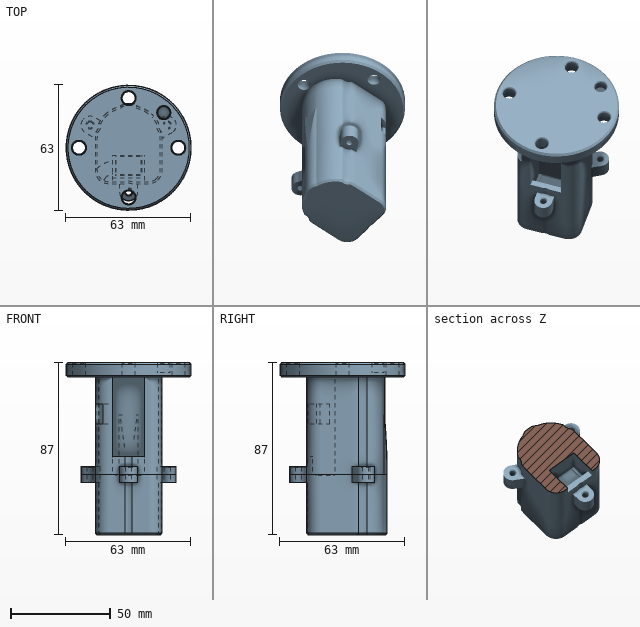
import cadquery as cq
import math

total_height = 87.0
edge_chamfer = 1.0

flange_diameter = 63.0
flange_thickness = 7.5
flange_bottom = total_height - flange_thickness

bolt_circle_radius = 25.0
bolt_hole_diameter = 6.5
dowel_hole_diameter = 6.1
dowel_hole_depth = 5.0
hole_chamfer = 0.5

half_width = 16.8
front_y = -18.15
back_y = 21.25
front_corner_radius = 6.85
back_corner_radius = 16.2
seam_z = 30.5

ridge_radius = 7.5
ridge_back_y = 22.4
ridge_center_y = ridge_back_y - ridge_radius
ridge_runout_radius = 330.0
ridge_runout_height = 30.0

ear_angles = (-90.0, 30.0, 150.0)
ear_circle_radius = 22.45
ear_circle_y = 0.2
ear_radius = 4.5
ear_half_height = 4.0
ear_root_radius = 14.0
ear_hole_diameter = 3.1
driver_groove_radius = 4.45

cavity_width = 16.0
cavity_back_y = -3.9
front_wall = 3.0
cavity_front_y = front_y + front_wall
window_height = 40.0
window_bottom = flange_bottom - window_height

channel_center = (-7.0, -19.2)
channel_inner_radius = 6.2
channel_outer_radius = 12.5
channel_bottom = 56.0
channel_height = 10.0

recess_margin = 1.3
recess_depth = 0.4


def box_between(x_range, y_range, z_range):
    """Box spanning the given lower and upper limits."""
    size = [high - low for low, high in (x_range, y_range, z_range)]
    corner = (x_range[0], y_range[0], z_range[0])
    return cq.Workplane("XY").box(*size, centered=False).translate(corner)


def ear_center(angle):
    """Plan position of the screw axis of the ear at this angle."""
    return (
        ear_circle_radius * math.cos(math.radians(angle)),
        ear_circle_y + ear_circle_radius * math.sin(math.radians(angle)),
    )


def shell_block(bottom, top):
    """Rounded block of the housing outline, without ridge, grooves or ears."""
    block = box_between((-half_width, half_width), (front_y, back_y), (bottom, top))
    block = block.edges("|Z and <Y").fillet(front_corner_radius)
    return block.edges("|Z and >Y").fillet(back_corner_radius)


def ridge(bottom, top):
    """Vertical cylinder whose back side stands out of the housing."""
    cylinder = cq.Workplane("XY").circle(ridge_radius).extrude(top - bottom)
    return cylinder.translate((0, ridge_center_y, bottom))


def driver_grooves(bottom, top):
    """Cylinders around the ear axes that hollow the housing sides."""
    centers = [ear_center(angle) for angle in ear_angles]
    cylinders = cq.Workplane("XY").pushPoints(centers).circle(driver_groove_radius)
    return cylinders.extrude(top - bottom).translate((0, 0, bottom))


def add_ears(housing, bottom, top):
    """Add the ears between two heights and drill their screw holes."""
    height = top - bottom
    neck_length = ear_circle_radius - ear_root_radius
    for angle in ear_angles:
        neck = cq.Workplane("XY").box(neck_length, 2 * ear_radius, height, centered=(False, True, False))
        neck = neck.translate((ear_root_radius, 0, 0))
        tip = cq.Workplane("XY").center(ear_circle_radius, 0).circle(ear_radius).extrude(height)
        ear = neck.union(tip).rotate((0, 0, 0), (0, 0, 1), angle)
        housing = housing.union(ear.translate((0, ear_circle_y, bottom)))
    for angle in ear_angles:
        hole = cq.Workplane("XY").center(*ear_center(angle)).circle(ear_hole_diameter / 2).extrude(height)
        housing = housing.cut(hole.translate((0, 0, bottom)))
    return housing


def countersink(center, hole_diameter, top):
    """Cone that breaks the upper edge of a hole."""
    cone = cq.Solid.makeCone(hole_diameter / 2, hole_diameter / 2 + hole_chamfer, hole_chamfer)
    return cq.Workplane(cone).translate((*center, top - hole_chamfer))


def top_hole(center, diameter, depth, top):
    """Drill with a countersunk mouth, reaching down from the given height."""
    drill = cq.Workplane("XY").center(*center).circle(diameter / 2).extrude(depth)
    return drill.translate((0, 0, top - depth)).union(countersink(center, diameter, top))


def make_flange():
    """Chamfered disc with four bolt holes and one blind dowel hole."""
    disc = cq.Workplane("XY").circle(flange_diameter / 2).extrude(flange_thickness)
    disc = disc.faces("<Z or >Z").chamfer(edge_chamfer).translate((0, 0, flange_bottom))
    for x, y in ((1, 0), (0, 1), (-1, 0), (0, -1)):
        center = (bolt_circle_radius * x, bolt_circle_radius * y)
        disc = disc.cut(top_hole(center, bolt_hole_diameter, flange_thickness, total_height))
    dowel_offset = bolt_circle_radius * math.sqrt(0.5)
    dowel_center = (dowel_offset, dowel_offset)
    return disc.cut(top_hole(dowel_center, dowel_hole_diameter, dowel_hole_depth, total_height))


def ridge_runout():
    """Ridge above the seam, trimmed by a large arc that is tangent to it at the seam."""
    runout_top = seam_z + ridge_runout_height
    runout_top_y = (
        ridge_back_y - ridge_runout_radius
        + math.sqrt(ridge_runout_radius**2 - ridge_runout_height**2)
    )
    envelope = (
        cq.Workplane("YZ")
        .moveTo(ridge_center_y, seam_z)
        .lineTo(ridge_back_y, seam_z)
        .radiusArc((runout_top_y, runout_top), -ridge_runout_radius)
        .lineTo(ridge_center_y, runout_top)
        .close()
        .extrude(ridge_radius, both=True)
    )
    return ridge(seam_z, runout_top).intersect(envelope)


def cable_channel():
    """Ring whose quarter breaks through the front left corner; it ends at the cavity side."""
    ring = (
        cq.Workplane("XY")
        .center(*channel_center)
        .circle(channel_outer_radius)
        .circle(channel_inner_radius)
        .extrude(channel_height)
        .translate((0, 0, channel_bottom))
    )
    reach = box_between(
        (channel_center[0] - channel_outer_radius, -cavity_width / 2),
        (channel_center[1], channel_center[1] + channel_outer_radius),
        (channel_bottom, channel_bottom + channel_height),
    )
    return ring.intersect(reach)


def make_upper_housing():
    housing = shell_block(seam_z, flange_bottom).union(ridge_runout())
    housing = housing.cut(driver_grooves(seam_z, flange_bottom))
    ear_top = seam_z + ear_half_height
    housing = add_ears(housing, seam_z, ear_top)
    for angle in ear_angles:
        housing = housing.cut(countersink(ear_center(angle), ear_hole_diameter, ear_top))
    cavity_sides = (-cavity_width / 2, cavity_width / 2)
    housing = housing.cut(
        box_between(cavity_sides, (cavity_front_y, cavity_back_y), (seam_z, flange_bottom))
    )
    housing = housing.cut(
        box_between(cavity_sides, (front_y, cavity_front_y), (window_bottom, flange_bottom))
    )
    housing = housing.cut(cable_channel())
    return housing.union(make_flange())


def floor_recess():
    """Recess cutter that narrows downwards by its own depth on every side."""
    width = cavity_width - 2 * recess_margin
    front = cavity_front_y + recess_margin
    length = cavity_back_y - front
    return (
        cq.Workplane("XY")
        .workplane(offset=seam_z)
        .center(0, front + length / 2)
        .rect(width, length)
        .extrude(-recess_depth, taper=45)
    )


def groove_flares():
    """Cones that carry the bottom edge chamfer around the driver grooves."""
    centers = [ear_center(angle) for angle in ear_angles]
    cone = cq.Solid.makeCone(driver_groove_radius + edge_chamfer, driver_groove_radius, edge_chamfer)
    return cq.Workplane("XY").pushPoints(centers).eachpoint(lambda place: cone.moved(place))


def make_lower_housing():
    housing = shell_block(0, seam_z).faces("<Z").chamfer(edge_chamfer)
    housing = housing.union(ridge(0, seam_z).faces("<Z").chamfer(edge_chamfer))
    housing = housing.cut(driver_grooves(0, seam_z)).cut(groove_flares())
    housing = add_ears(housing, seam_z - ear_half_height, seam_z)
    return housing.cut(floor_recess())


upper_housing = make_upper_housing()
lower_housing = make_lower_housing()

result = cq.Compound.makeCompound([upper_housing.val(), lower_housing.val()])